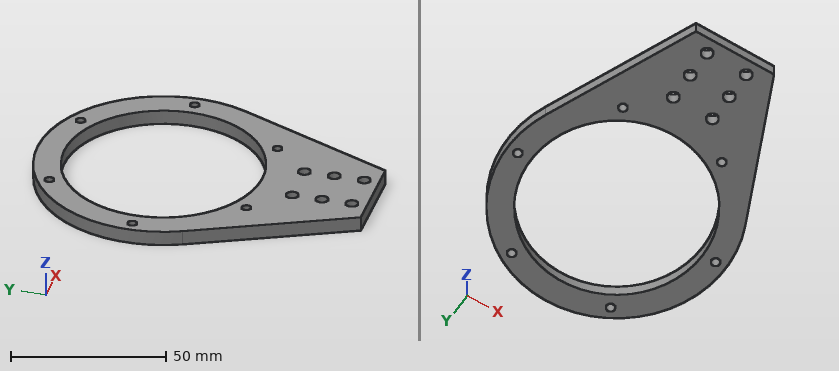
import cadquery as cq
import math

length = 112.0
thickness = 5.0
outer_radius = 42.0
bore_radius = 33.0
end_width = 30.0

ring_hole_count = 6
ring_hole_diameter = 3.0
ring_hole_circle_radius = 38.0

mount_hole_diameter = 4.0
mount_column_spacing = 15.0
mount_row_spacing = 10.0
mount_row_count = 3
mount_end_margin = 5.0

end_half_width = end_width / 2
end_y = outer_radius - length


def plate():
    """Round head whose straight sides run tangentially to a narrow flat end."""
    corner_distance = math.hypot(end_half_width, end_y)
    corner_angle = math.atan2(end_y, end_half_width)
    tangent_angle = corner_angle + math.acos(outer_radius / corner_distance)
    tangent_x = outer_radius * math.cos(tangent_angle)
    tangent_y = outer_radius * math.sin(tangent_angle)
    return (
        cq.Workplane("XY")
        .moveTo(-end_half_width, end_y)
        .lineTo(end_half_width, end_y)
        .lineTo(tangent_x, tangent_y)
        .threePointArc((0, outer_radius), (-tangent_x, tangent_y))
        .close()
        .extrude(thickness)
    )


def bore():
    """Large round opening through the head."""
    return cq.Workplane("XY").circle(bore_radius).extrude(thickness)


def ring_holes():
    """Evenly spaced screw holes around the bore."""
    return (
        cq.Workplane("XY")
        .polarArray(ring_hole_circle_radius, 0, 360, ring_hole_count)
        .circle(ring_hole_diameter / 2)
        .extrude(thickness)
    )


def mount_holes():
    """Two columns of mounting holes, counted from the free end."""
    points = [
        (side * mount_column_spacing / 2, end_y + mount_end_margin + row * mount_row_spacing)
        for side in (-1, 1)
        for row in range(mount_row_count)
    ]
    return (
        cq.Workplane("XY")
        .pushPoints(points)
        .circle(mount_hole_diameter / 2)
        .extrude(thickness)
    )


result = plate().cut(bore()).cut(ring_holes()).cut(mount_holes())